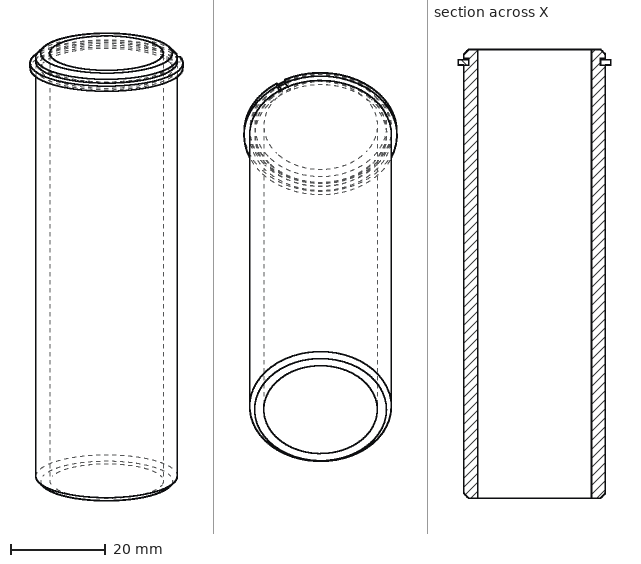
import cadquery as cq

length = 95.0
sleeve_diameter = 30.0
bore_diameter = 24.0
end_chamfer = 1.0

ring_diameter = 32.4
ring_thickness = 1.1
ring_gap = 2.0

groove_depth = 1.0
groove_clearance = 0.3
groove_bottom = length - 3.3
groove_width = ring_thickness + groove_clearance
groove_diameter = sleeve_diameter - 2 * groove_depth


def make_tube(outer_diameter, inner_diameter, bottom, height):
    """Return a tube along Z whose lower face is at the given height."""
    return (
        cq.Workplane("XY", origin=(0, 0, bottom))
        .circle(outer_diameter / 2)
        .circle(inner_diameter / 2)
        .extrude(height)
    )


def make_sleeve():
    """Return the tube with chamfered outer rims and the ring groove."""
    outside = cq.Workplane("XY").circle(sleeve_diameter / 2).extrude(length)
    outside = outside.faces("<Z or >Z").edges().chamfer(end_chamfer)
    bore = cq.Workplane("XY").circle(bore_diameter / 2).extrude(length)
    groove = make_tube(ring_diameter, groove_diameter, groove_bottom, groove_width)
    return outside.cut(bore).cut(groove)


def make_snap_ring():
    """Return the flat ring, split by a parallel-sided gap on its +Y side."""
    ring = make_tube(ring_diameter, groove_diameter, groove_bottom, ring_thickness)
    gap = cq.Workplane("XY", origin=(0, 0, groove_bottom)).box(
        ring_gap, ring_diameter, ring_thickness, centered=(True, False, False)
    )
    return ring.cut(gap)


sleeve = make_sleeve()
snap_ring = make_snap_ring()

result = cq.Compound.makeCompound([sleeve.val(), snap_ring.val()])